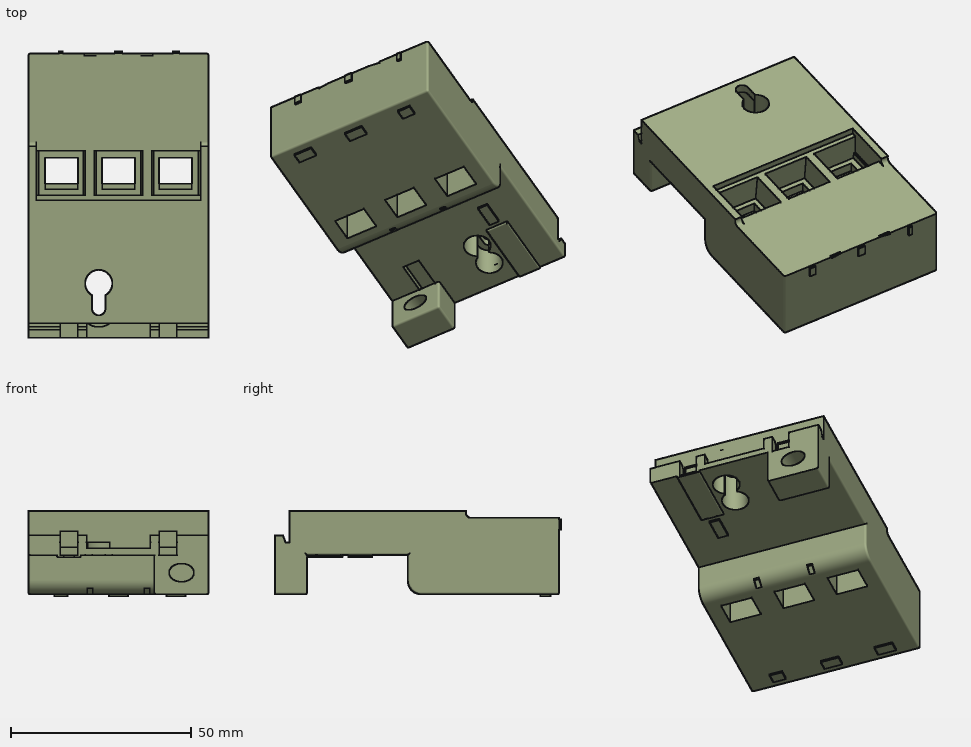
import cadquery as cq
width = 50.0
length = 78.95
height = 23.2
half_width = width / 2
edge_radius = 0.6

deck_z = 21.3
step_top_y = 53.2
step_bottom_y = 54.3
step_radius = 1.35
block_front_y = 36.9
block_corner_radius = 3.8
shelf_z = 10.9
front_wall_y = 4.05
lip_z = 16.4
groove_z = 14.5
groove_front_y = 3.0
lip_rear_y = 2.3

deck_half_width = 22.8
deck_front_y = 38.15

window_pitch = 15.8
window_opening = 9.15
window_front_y = 41.2
window_rear_y = 49.9
window_lower_front_y = 42.8
pocket_front_y = 39.6
pocket_rear_y = 51.9
pocket_pitch = 16.0
pocket_mouth_width = 13.4
pocket_floor_width = 12.3
pocket_floor_z = 13.7
rim_ledge_z = 15.4

keyhole_x = -5.5
keyhole_y = 15.1
keyhole_radius = 3.7
keyhole_slot_y = 8.1
keyhole_slot_radius = 1.8
keyhole_boss_radius = 5.1
head_clearance_top_z = 20.7

lip_cutout_half_width = 8.8
lip_cutout_z = 12.8
notch_centre_x = 13.75
notch_width = 4.9
notch_top_z = 17.5
notch_recess = 0.6
channel_top_z = 13.1
channel_depth = 18.3
channel_rib_width = 6.7
channel_rib_length = 18.9
channel_rib_drop = 0.55
channel_rib_radius = 0.4

foot_left_x = 9.9
foot_length = 9.0
foot_hole_x = 17.5
foot_hole_z = 6.05
foot_hole_width = 6.9
foot_hole_height = 5.1

catch_x = window_pitch / 2
corner_catch_width = 1.5
corner_catch_height = 1.75
corner_catch_inset = 1.3
rear_catch_width = 3.25
rear_catch_depth = 0.6
rear_catch_drop = 0.5

marker_height = 0.55
rear_marker_widths = [1.1, 2.15, 1.8]
rear_marker_bottom_z = 18.0
rear_marker_top_z = 20.8
base_marker_widths = [3.7, 5.3, 5.3]
base_marker_front_y = 73.6
base_marker_rear_y = 76.55
shelf_marker_width = 2.95
shelf_marker_front_y = 20.35
shelf_marker_rear_y = 27.1


def box(x_min, x_max, y_min, y_max, z_min, z_max):
    size = (x_max - x_min, y_max - y_min, z_max - z_min)
    return cq.Workplane("XY").box(*size, centered=False).translate((x_min, y_min, z_min))


def centred_box(x_centre, x_width, y_min, y_max, z_min, z_max):
    return box(x_centre - x_width / 2, x_centre + x_width / 2, y_min, y_max, z_min, z_max)


def cylinder(x, y, radius, z_min, z_max):
    return cq.Workplane("XY", origin=(x, y, z_min)).circle(radius).extrude(z_max - z_min)


def make_shell():
    """Side profile run across the width, with its lower and rear edges rounded."""
    shell = (
        cq.Workplane("YZ", origin=(-half_width, 0, 0))
        .moveTo(0, shelf_z)
        .lineTo(0, lip_z)
        .lineTo(lip_rear_y, lip_z)
        .lineTo(groove_front_y, groove_z)
        .lineTo(front_wall_y, groove_z)
        .lineTo(front_wall_y, height)
        .lineTo(step_top_y, height)
        .radiusArc((step_bottom_y, deck_z), -step_radius)
        .lineTo(length, deck_z)
        .lineTo(length, 0)
        .lineTo(block_front_y + block_corner_radius, 0)
        .radiusArc((block_front_y, block_corner_radius), block_corner_radius)
        .lineTo(block_front_y, shelf_z)
        .close()
        .extrude(width)
    )
    lower_edges = cq.selectors.BoxSelector((-width, 0.1, -0.8), (width, length - 0.1, shelf_z + 0.1))
    side_edges = shell.faces("<X or >X").edges(lower_edges)
    rear_edges = shell.faces(">Y").edges("|Z or <Z")
    return side_edges.add(rear_edges).fillet(edge_radius)


def make_foot():
    foot = box(foot_left_x, half_width, 0, foot_length, 0, shelf_z + edge_radius)
    foot = foot.edges("(|Y and <Z) or (>Y and |Z) or (>Y and <Z)").fillet(edge_radius)
    hole = (
        cq.Workplane("XZ", origin=(foot_hole_x, 0, foot_hole_z))
        .ellipse(foot_hole_width / 2, foot_hole_height / 2)
        .extrude(-foot_length)
    )
    return foot.cut(hole)


def make_pocket(x):
    """Recess above one window, narrowing towards its floor."""
    return (
        cq.Workplane("XZ", origin=(x, pocket_rear_y, 0))
        .moveTo(-pocket_floor_width / 2, pocket_floor_z)
        .lineTo(pocket_floor_width / 2, pocket_floor_z)
        .lineTo(pocket_mouth_width / 2, deck_z)
        .lineTo(-pocket_mouth_width / 2, deck_z)
        .close()
        .extrude(pocket_rear_y - pocket_front_y)
    )


def cut_windows(body):
    body = body.cut(box(-deck_half_width, deck_half_width, deck_front_y, step_bottom_y, deck_z, height))
    for column in (-1, 0, 1):
        x = column * window_pitch
        body = body.cut(make_pocket(column * pocket_pitch))
        body = body.cut(centred_box(x, window_opening, window_front_y, window_rear_y, shelf_z, deck_z))
        body = body.cut(centred_box(x, window_opening, window_lower_front_y, window_rear_y, 0, deck_z))
    rim_relief_width = deck_half_width - pocket_pitch
    for side in (-1, 1):
        relief_x = side * (deck_half_width - rim_relief_width / 2)
        body = body.cut(
            centred_box(relief_x, rim_relief_width, pocket_front_y, pocket_rear_y, rim_ledge_z, deck_z)
        )
    return body


def cut_front_lip(body):
    """Wide cut-out in the lip that leaves the keyhole boss standing."""
    cutout = box(
        -lip_cutout_half_width, lip_cutout_half_width, 0, front_wall_y, lip_cutout_z, lip_z
    )
    boss = cylinder(keyhole_x, keyhole_slot_y, keyhole_boss_radius, lip_cutout_z, groove_z)
    return body.cut(cutout.cut(boss))


def cut_keyhole(body):
    head = cylinder(keyhole_x, keyhole_y, keyhole_radius, 0, height)
    slot_end = cylinder(keyhole_x, keyhole_slot_y, keyhole_slot_radius, 0, height)
    slot = centred_box(keyhole_x, 2 * keyhole_slot_radius, keyhole_slot_y, keyhole_y, 0, height)
    clearance = cylinder(keyhole_x, keyhole_slot_y, keyhole_radius, 0, head_clearance_top_z)
    return body.cut(head).cut(slot_end).cut(slot).cut(clearance)


def add_channel_rib(body):
    """Rib below the shelf that closes the floor of the left channel."""
    rib = centred_box(
        -notch_centre_x, channel_rib_width, 0, channel_rib_length, shelf_z - channel_rib_drop, shelf_z
    )
    return body.union(rib.edges("<Z and (|Y or >Y)").fillet(channel_rib_radius))


def cut_channels(body):
    """Notches through the lip, each running on as a blind channel inside the shelf."""
    for x in (-notch_centre_x, notch_centre_x):
        body = body.cut(
            centred_box(x, notch_width, 0, front_wall_y + notch_recess, shelf_z, notch_top_z)
        )
        body = body.cut(centred_box(x, notch_width, 0, channel_depth, shelf_z, channel_top_z))
    return body


def cut_catches(body):
    corner_catch_y = block_front_y + corner_catch_inset
    for side in (-1, 1):
        corner = (
            cq.Workplane("YZ", origin=(side * catch_x - corner_catch_width / 2, 0, 0))
            .moveTo(block_front_y, 0)
            .lineTo(block_front_y, corner_catch_height)
            .lineTo(corner_catch_y, corner_catch_height)
            .lineTo(corner_catch_y + corner_catch_height, 0)
            .close()
            .extrude(corner_catch_width)
        )
        outer_x = side * (catch_x + rear_catch_width / 2)
        inner_x = side * (catch_x - rear_catch_width / 2)
        ramp = (
            cq.Workplane("XZ", origin=(0, length, 0))
            .moveTo(inner_x, deck_z)
            .lineTo(outer_x, deck_z)
            .lineTo(outer_x, deck_z - rear_catch_drop)
            .close()
            .extrude(rear_catch_depth)
        )
        body = body.cut(corner).cut(ramp)
    return body


def make_housing():
    body = make_shell().union(make_foot())
    body = add_channel_rib(body)
    body = cut_windows(body)
    body = cut_front_lip(body)
    body = cut_keyhole(body)
    body = cut_channels(body)
    return cut_catches(body)


def make_rear_marker(x, marker_width):
    return centred_box(
        x, marker_width, length, length + marker_height, rear_marker_bottom_z, rear_marker_top_z
    )


def make_base_marker(x, marker_width):
    return centred_box(x, marker_width, base_marker_front_y, base_marker_rear_y, -marker_height, 0)


def make_shelf_marker():
    return centred_box(
        -notch_centre_x,
        shelf_marker_width,
        shelf_marker_front_y,
        shelf_marker_rear_y,
        shelf_z - marker_height,
        shelf_z,
    )


housing = make_housing()
shelf_marker = make_shelf_marker()
column_x = [-pocket_pitch, 0, pocket_pitch]
rear_markers = [make_rear_marker(x, w) for x, w in zip(column_x, rear_marker_widths)]
base_markers = [make_base_marker(x, w) for x, w in zip(column_x, base_marker_widths)]

result = cq.Compound.makeCompound(
    [
        housing.val(),
        shelf_marker.val(),
        *[marker.val() for marker in rear_markers],
        *[marker.val() for marker in base_markers],
    ]
)